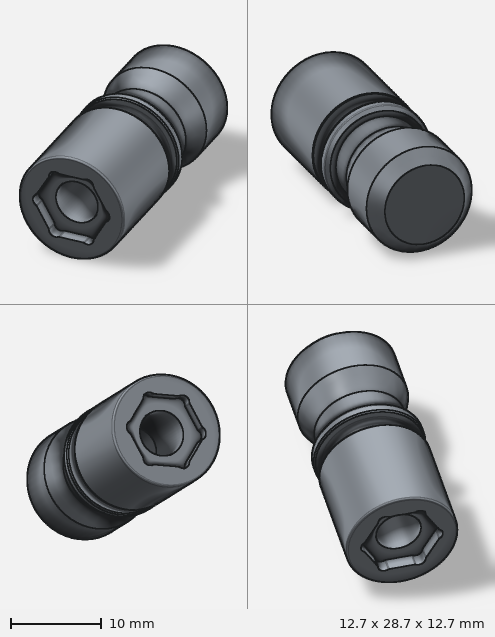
import cadquery as cq
import math

length = 28.7
head_radius = 12.7 / 2
head_length = 12.0
head_front_fillet = 0.23
head_back_chamfer = 0.1

groove_radius = 9.5 / 2
groove_fillet = 0.77
core_overlap = 0.57

flange_start = 14.2
flange_end = 15.78
flange_front_chamfer = 0.17
flange_back_chamfer = 0.52
flange_edge_fillet = 0.23
pick_margin = 0.03

neck_radius = 10.33 / 2
neck_end = 18.75
tip_radius = 12.57 / 2
tip_cone_end = 21.73
tip_chamfer = 1.55

socket_across_flats = 8.0
socket_tip_radius = 4.65
socket_depth = 1.5
lobe_radius = 0.77
lobe_blend_radius = 0.23
lobe_count = 6

bore_radius = 5.1 / 2
bore_depth = 10.05
bore_point_angle = 118.0


def cylinder(radius, start, end):
    """Solid cylinder along Y from start to end."""
    return cq.Workplane("XZ", origin=(0, start, 0)).circle(radius).extrude(start - end)


def revolve_profile(points):
    """Turn a closed (radius, y) outline about the Y axis."""
    return cq.Workplane("XY").polyline(points).close().revolve(360, (0, 0, 0), (0, 1, 0))


def make_head():
    head = cylinder(head_radius, 0, head_length)
    head = head.faces("<Y").edges().fillet(head_front_fillet)
    return head.faces(">Y").edges().chamfer(head_back_chamfer)


def make_flange():
    flange = cylinder(head_radius, flange_start, flange_end)
    flange = flange.faces("<Y").edges().chamfer(flange_front_chamfer)
    flange = flange.faces(">Y").edges().chamfer(flange_back_chamfer)
    back_corner_y = flange_end - flange_back_chamfer
    low_corner = (-length, back_corner_y - pick_margin, -length)
    high_corner = (length, back_corner_y + pick_margin, length)
    corner = cq.selectors.BoxSelector(low_corner, high_corner, boundingbox=True)
    return flange.edges(corner).fillet(flange_edge_fillet)


def make_groove_core():
    """Groove floor with a quarter-round fillet rising to each side wall."""
    shoulder_radius = groove_radius + groove_fillet
    arc_offset = groove_fillet * (1 - math.sqrt(0.5))
    front_arc_middle = (groove_radius + arc_offset, head_length + arc_offset)
    back_arc_middle = (groove_radius + arc_offset, flange_start - arc_offset)
    return (
        cq.Workplane("XY")
        .moveTo(0, head_length - core_overlap)
        .lineTo(shoulder_radius, head_length - core_overlap)
        .lineTo(shoulder_radius, head_length)
        .threePointArc(front_arc_middle, (groove_radius, head_length + groove_fillet))
        .lineTo(groove_radius, flange_start - groove_fillet)
        .threePointArc(back_arc_middle, (shoulder_radius, flange_start))
        .lineTo(shoulder_radius, flange_start + core_overlap)
        .lineTo(0, flange_start + core_overlap)
        .close()
        .revolve(360, (0, 0, 0), (0, 1, 0))
    )


def make_neck_and_tip():
    return revolve_profile([
        (0, flange_start),
        (neck_radius, flange_start),
        (neck_radius, neck_end),
        (tip_radius, tip_cone_end),
        (tip_radius, length - tip_chamfer),
        (tip_radius - tip_chamfer, length),
        (0, length),
    ])


def make_socket():
    """Hexagonal recess whose corners swell into round lobes."""
    apothem = socket_across_flats / 2
    lobe_centre = socket_tip_radius - lobe_radius
    step = 2 * math.pi / lobe_count
    lobe_height = apothem - lobe_centre * math.cos(step / 2)
    flat_half = lobe_centre * math.sin(step / 2) - math.sqrt(lobe_radius**2 - lobe_height**2)
    flat_end_radius = math.hypot(apothem, flat_half)
    flat_end_angle = step / 2 - math.atan2(flat_half, apothem)

    def polar(radius, angle):
        return (radius * math.cos(angle), radius * math.sin(angle))

    outline = cq.Workplane("XZ").moveTo(*polar(flat_end_radius, -flat_end_angle))
    for i in range(lobe_count):
        angle = i * step
        lobe_tip = polar(socket_tip_radius, angle)
        outline = outline.threePointArc(lobe_tip, polar(flat_end_radius, angle + flat_end_angle))
        if i < lobe_count - 1:
            outline = outline.lineTo(*polar(flat_end_radius, angle + step - flat_end_angle))
    return outline.close().extrude(-socket_depth).edges("|Y").fillet(lobe_blend_radius)


def make_bore():
    """Blind drilled hole with a conical bottom."""
    point_length = bore_radius / math.tan(math.radians(bore_point_angle / 2))
    return revolve_profile([
        (0, 0),
        (bore_radius, 0),
        (bore_radius, bore_depth),
        (0, bore_depth + point_length),
    ])


body = make_head().union(make_groove_core()).union(make_flange()).union(make_neck_and_tip())
result = body.cut(make_socket()).cut(make_bore())